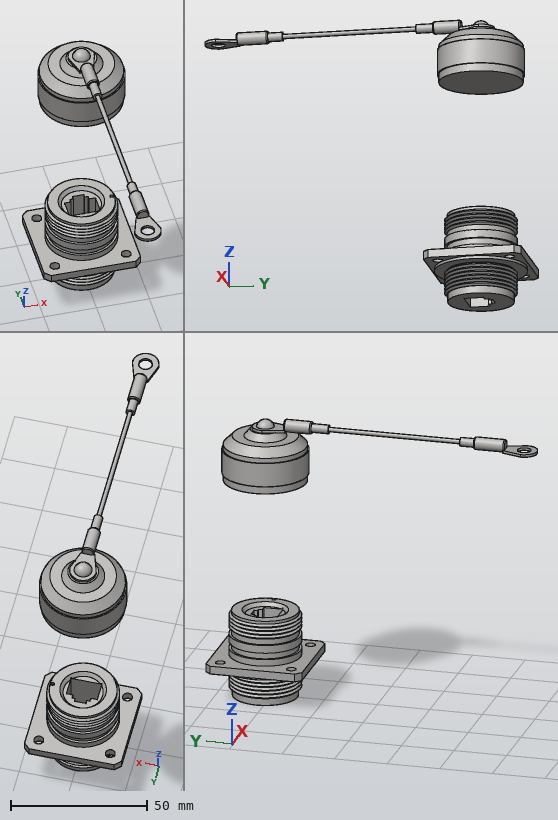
import cadquery as cq
import math

OVERALL_HEIGHT = 108.13
OVERALL_LENGTH = 121.62

FLANGE_WIDTH = 36.58
FLANGE_CORNER_CUT = 2.2
FLANGE_BOTTOM = 12.8
FLANGE_TOP = 15.85
MOUNT_HOLE_SPACING = 27.0
MOUNT_HOLE_DIAMETER = 3.56
GASKET_RING_DIAMETER = 34.3
GASKET_RING_BOTTOM = 11.75
RECEPTACLE_HEIGHT = 33.04
BODY_RADIUS = 24.94 / 2
CREST_RADIUS = 26.8 / 2
NECK_RADIUS = 24.43 / 2
NECK_HEIGHT = 2.75
SHOULDER_TOP = 18.4
BAND_BOTTOM = 20.9
BAND_TOP = 23.9
THREAD_PITCH = 1.465
LOWER_THREAD_START = NECK_HEIGHT
LOWER_THREAD_RIDGES = 6
UPPER_THREAD_START = 26.05
UPPER_THREAD_RIDGES = 4

MOUTH_RADIUS = 17.1 / 2
MOUTH_FLOOR_RADIUS = 14.73 / 2
MOUTH_DEPTH = 1.45
SOCKET_HALF_WIDTH = 5.85
SOCKET_BOTTOM = -5.2
SOCKET_TOP = 2.1
STEP_HALF_WIDTH = 3.4
STEP_TOP = 3.5
LATCH_HALF_WIDTH = 2.15
LATCH_TOP = 4.85
MARK_DIAMETER = 1.27
MARK_OFFSET = 11.5
MARK_DEPTH = 1.0

CAP_BOTTOM = 83.9
CAP_GRIP_BOTTOM = 86.85
CAP_GRIP_TOP = 96.0
CAP_BEVEL_BOTTOM = 97.85
CAP_TOP = 101.15
CAP_RADIUS = 31.06 / 2
CAP_GRIP_RADIUS = 32.1 / 2
CAP_TOP_RADIUS = 24.43 / 2
BOSS_BASE_RADIUS = 7.9
BOSS_TOP_RADIUS = 5.65
BOSS_TOP = 103.78

RIVET_HEAD_RADIUS = 3.3
RIVET_HEAD_HEIGHT = 2.6

LUG_RING_RADIUS = 4.95
LUG_HOLE_DIAMETER = 4.98
LUG_THICKNESS = 1.02
LUG_NECK_HALF_WIDTH = 2.55
BARREL_DIAMETER = 4.7
BARREL_BEVEL_LENGTH = 0.5
BARREL_BEVEL_DEPTH = 0.3
COLLAR_DIAMETER = 3.3
CAP_LUG_BARREL_START = 7.4
CAP_LUG_BARREL_END = 17.8
FREE_LUG_BARREL_START = 7.0
FREE_LUG_BARREL_END = 18.8
COLLAR_END = 24.15
CABLE_DIAMETER = 1.7

cable_height = OVERALL_HEIGHT - BARREL_DIAMETER / 2
lug_top = BOSS_TOP + LUG_THICKNESS
free_lug_y = FLANGE_WIDTH / 2 - OVERALL_LENGTH + LUG_RING_RADIUS


def thread_points(start, ridges):
    """Radius and height of V-shaped thread ridges, from the first root up to the last."""
    points = [(BODY_RADIUS, start)]
    for i in range(ridges):
        points.append((CREST_RADIUS, start + (i + 0.5) * THREAD_PITCH))
        points.append((BODY_RADIUS, start + (i + 1) * THREAD_PITCH))
    return points


def revolve_profile(points):
    """Solid of revolution about Z from (radius, height) points running up the outer side."""
    bottom = points[0][1]
    top = points[-1][1]
    outline = [(0, bottom)] + points + [(0, top)]
    return cq.Workplane("XZ").polyline(outline).close().revolve(360, (0, 0), (0, 1))


def make_turned_shell():
    """Threaded round body of the receptacle."""
    return revolve_profile(
        [(NECK_RADIUS, 0), (NECK_RADIUS, NECK_HEIGHT)]
        + thread_points(LOWER_THREAD_START, LOWER_THREAD_RIDGES)
        + [
            (BODY_RADIUS, FLANGE_TOP),
            (CREST_RADIUS, FLANGE_TOP),
            (CREST_RADIUS, SHOULDER_TOP),
            (BODY_RADIUS, SHOULDER_TOP),
            (BODY_RADIUS, BAND_BOTTOM),
            (CREST_RADIUS, BAND_BOTTOM),
            (CREST_RADIUS, BAND_TOP),
            (BODY_RADIUS, BAND_TOP),
        ]
        + thread_points(UPPER_THREAD_START, UPPER_THREAD_RIDGES)
        + [(BODY_RADIUS, RECEPTACLE_HEIGHT)]
    )


def make_flange():
    """Square flange with cut corners and four holes, and the round gasket ring under it."""
    plate = (
        cq.Workplane("XY", origin=(0, 0, FLANGE_BOTTOM))
        .rect(FLANGE_WIDTH, FLANGE_WIDTH)
        .extrude(FLANGE_TOP - FLANGE_BOTTOM)
        .edges("|Z")
        .chamfer(FLANGE_CORNER_CUT)
    )
    ring = (
        cq.Workplane("XY", origin=(0, 0, GASKET_RING_BOTTOM))
        .circle(GASKET_RING_DIAMETER / 2)
        .extrude(FLANGE_BOTTOM - GASKET_RING_BOTTOM)
    )
    holes = (
        cq.Workplane("XY", origin=(0, 0, GASKET_RING_BOTTOM))
        .rect(MOUNT_HOLE_SPACING, MOUNT_HOLE_SPACING, forConstruction=True)
        .vertices()
        .circle(MOUNT_HOLE_DIAMETER / 2)
        .extrude(FLANGE_TOP - GASKET_RING_BOTTOM)
    )
    return plate.union(ring).cut(holes)


def make_socket_cut():
    """Stepped jack opening, symmetric about X = 0, through the whole receptacle."""
    right_side = [
        (SOCKET_HALF_WIDTH, SOCKET_BOTTOM),
        (SOCKET_HALF_WIDTH, SOCKET_TOP),
        (STEP_HALF_WIDTH, SOCKET_TOP),
        (STEP_HALF_WIDTH, STEP_TOP),
        (LATCH_HALF_WIDTH, STEP_TOP),
        (LATCH_HALF_WIDTH, LATCH_TOP),
    ]
    left_side = [(-x, y) for x, y in reversed(right_side)]
    return cq.Workplane("XY").polyline(right_side + left_side).close().extrude(RECEPTACLE_HEIGHT)


def make_receptacle():
    mouth = revolve_profile(
        [
            (MOUTH_FLOOR_RADIUS, RECEPTACLE_HEIGHT - MOUTH_DEPTH),
            (MOUTH_RADIUS, RECEPTACLE_HEIGHT),
        ]
    )
    mark = (
        cq.Workplane("XY", origin=(MARK_OFFSET, 0, RECEPTACLE_HEIGHT - MARK_DEPTH))
        .circle(MARK_DIAMETER / 2)
        .extrude(MARK_DEPTH)
    )
    return make_turned_shell().union(make_flange()).cut(mouth).cut(make_socket_cut()).cut(mark)


def make_cap():
    """Dust cap: grip band, bevelled shoulder and the conical boss that carries the rivet."""
    return revolve_profile(
        [
            (CAP_RADIUS, CAP_BOTTOM),
            (CAP_RADIUS, CAP_GRIP_BOTTOM),
            (CAP_GRIP_RADIUS, CAP_GRIP_BOTTOM),
            (CAP_GRIP_RADIUS, CAP_GRIP_TOP),
            (CAP_RADIUS, CAP_GRIP_TOP),
            (CAP_RADIUS, CAP_BEVEL_BOTTOM),
            (CAP_TOP_RADIUS, CAP_TOP),
            (BOSS_BASE_RADIUS, CAP_TOP),
            (BOSS_TOP_RADIUS, BOSS_TOP),
        ]
    )


def make_rivet():
    """Domed head on a shank that fills the hole of the lug on the cap."""
    dome_radius = (RIVET_HEAD_RADIUS**2 + RIVET_HEAD_HEIGHT**2) / (2 * RIVET_HEAD_HEIGHT)
    dome_centre = lug_top + RIVET_HEAD_HEIGHT - dome_radius
    rim_angle = math.asin((lug_top - dome_centre) / dome_radius)
    mid_angle = (rim_angle + math.pi / 2) / 2
    arc_middle = (dome_radius * math.cos(mid_angle), dome_centre + dome_radius * math.sin(mid_angle))
    return (
        cq.Workplane("XZ")
        .moveTo(0, BOSS_TOP)
        .lineTo(LUG_HOLE_DIAMETER / 2, BOSS_TOP)
        .lineTo(LUG_HOLE_DIAMETER / 2, lug_top)
        .lineTo(RIVET_HEAD_RADIUS, lug_top)
        .threePointArc(arc_middle, (0, lug_top + RIVET_HEAD_HEIGHT))
        .close()
        .revolve(360, (0, 0), (0, 1))
    )


def make_lug_tongue(length):
    """Flat plate: a half-round end whose sides narrow in straight lines to the neck, along +Y."""
    return (
        cq.Workplane("XY", origin=(0, 0, BOSS_TOP))
        .moveTo(LUG_NECK_HALF_WIDTH, length)
        .lineTo(LUG_RING_RADIUS, 0)
        .threePointArc((0, -LUG_RING_RADIUS), (-LUG_RING_RADIUS, 0))
        .lineTo(-LUG_NECK_HALF_WIDTH, length)
        .close()
        .extrude(LUG_THICKNESS)
    )


def make_lug(barrel_start, barrel_end):
    """Ring lug with its ring on the Z axis and its barrel and collar along +Y."""
    barrel_radius = BARREL_DIAMETER / 2
    bevel_radius = barrel_radius - BARREL_BEVEL_DEPTH
    collar_radius = COLLAR_DIAMETER / 2
    cable_radius = CABLE_DIAMETER / 2
    barrel = (
        cq.Workplane("XY", origin=(0, 0, cable_height))
        .polyline(
            [
                (0, barrel_start),
                (bevel_radius, barrel_start),
                (barrel_radius, barrel_start + BARREL_BEVEL_LENGTH),
                (barrel_radius, barrel_end - BARREL_BEVEL_LENGTH),
                (bevel_radius, barrel_end),
                (collar_radius, barrel_end),
                (collar_radius, COLLAR_END),
                (cable_radius, COLLAR_END),
                (cable_radius, barrel_end),
                (0, barrel_end),
            ]
        )
        .close()
        .revolve(360, (0, 0), (0, 1))
    )
    ring_hole = (
        cq.Workplane("XY", origin=(0, 0, BOSS_TOP)).circle(LUG_HOLE_DIAMETER / 2).extrude(LUG_THICKNESS)
    )
    return make_lug_tongue(barrel_start + BARREL_BEVEL_LENGTH).cut(ring_hole).union(barrel)


def make_cable():
    """Straight cable seated in the collars of both lugs."""
    cap_end = -CAP_LUG_BARREL_END
    free_end = free_lug_y + FREE_LUG_BARREL_END
    return (
        cq.Workplane("XZ", origin=(0, cap_end, cable_height))
        .circle(CABLE_DIAMETER / 2)
        .extrude(cap_end - free_end)
    )


receptacle = make_receptacle()
cap = make_cap()
rivet = make_rivet()
cap_lug = make_lug(CAP_LUG_BARREL_START, CAP_LUG_BARREL_END).rotate((0, 0, 0), (0, 0, 1), 180)
free_lug = make_lug(FREE_LUG_BARREL_START, FREE_LUG_BARREL_END).translate((0, free_lug_y, 0))
cable = make_cable()

bodies = [receptacle, cap, rivet, cap_lug, free_lug, cable]
result = cq.Compound.makeCompound([body.solids().val() for body in bodies])